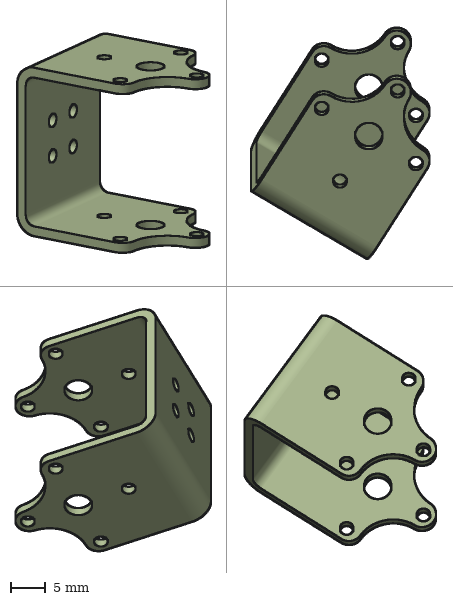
import cadquery as cq

length = 26.5
width = 19.6
height = 25.6
thickness = 1.5
bend_radius = 3.0

corner_radius = 2.0
tip_half_width = 2.05
scoop_start_x = 18.97

shaft_x = 16.7
shaft_diameter = 4.0
bolt_circle_radius = 8.0
screw_diameter = 2.0

web_hole_spacing = 5.4

half_width = width / 2
through_depth = 2 * height


def make_channel():
    """U-shaped channel with the web at X = 0 and concentric bends."""
    outer = (
        cq.Workplane("XY")
        .box(length, width, height, centered=(False, True, True))
        .edges("|Y and <X")
        .fillet(bend_radius)
    )
    inner = (
        cq.Workplane("XY")
        .box(length, width, height - 2 * thickness, centered=(False, True, True))
        .edges("|Y and <X")
        .fillet(bend_radius - thickness)
        .translate((thickness, 0, 0))
    )
    return outer.cut(inner)


def make_flange_outline():
    """Plan outline extruded through the full height."""
    tip_x = shaft_x + bolt_circle_radius
    corner_x = scoop_start_x - corner_radius
    corner_y = half_width - corner_radius
    scoop_radius_x = tip_x - scoop_start_x
    scoop_radius_y = corner_y - tip_half_width
    diagonal = 0.5 ** 0.5
    scoop_mid_x = tip_x - scoop_radius_x * diagonal
    scoop_mid_y = corner_y - scoop_radius_y * diagonal
    corner_mid_x = corner_x + corner_radius * diagonal
    corner_mid_y = corner_y + corner_radius * diagonal
    return (
        cq.Workplane("XY", origin=(0, 0, -height / 2))
        .moveTo(0, -half_width)
        .lineTo(corner_x, -half_width)
        .threePointArc((corner_mid_x, -corner_mid_y), (scoop_start_x, -corner_y))
        .threePointArc((scoop_mid_x, -scoop_mid_y), (tip_x, -tip_half_width))
        .threePointArc((length, 0), (tip_x, tip_half_width))
        .threePointArc((scoop_mid_x, scoop_mid_y), (scoop_start_x, corner_y))
        .threePointArc((corner_mid_x, corner_mid_y), (corner_x, half_width))
        .lineTo(0, half_width)
        .close()
        .extrude(height)
    )


def make_flange_holes():
    """Shaft hole and four screw holes through both flanges."""
    base = cq.Workplane("XY", origin=(shaft_x, 0, -through_depth / 2))
    shaft = base.circle(shaft_diameter / 2).extrude(through_depth)
    screws = (
        base.polarArray(bolt_circle_radius, 0, 360, 4)
        .circle(screw_diameter / 2)
        .extrude(through_depth)
    )
    return shaft.union(screws)


def make_web_holes():
    """Square pattern of four screw holes through the web."""
    return (
        cq.Workplane("YZ")
        .rarray(web_hole_spacing, web_hole_spacing, 2, 2)
        .circle(screw_diameter / 2)
        .extrude(thickness)
    )


result = (
    make_channel()
    .intersect(make_flange_outline())
    .cut(make_flange_holes())
    .cut(make_web_holes())
)